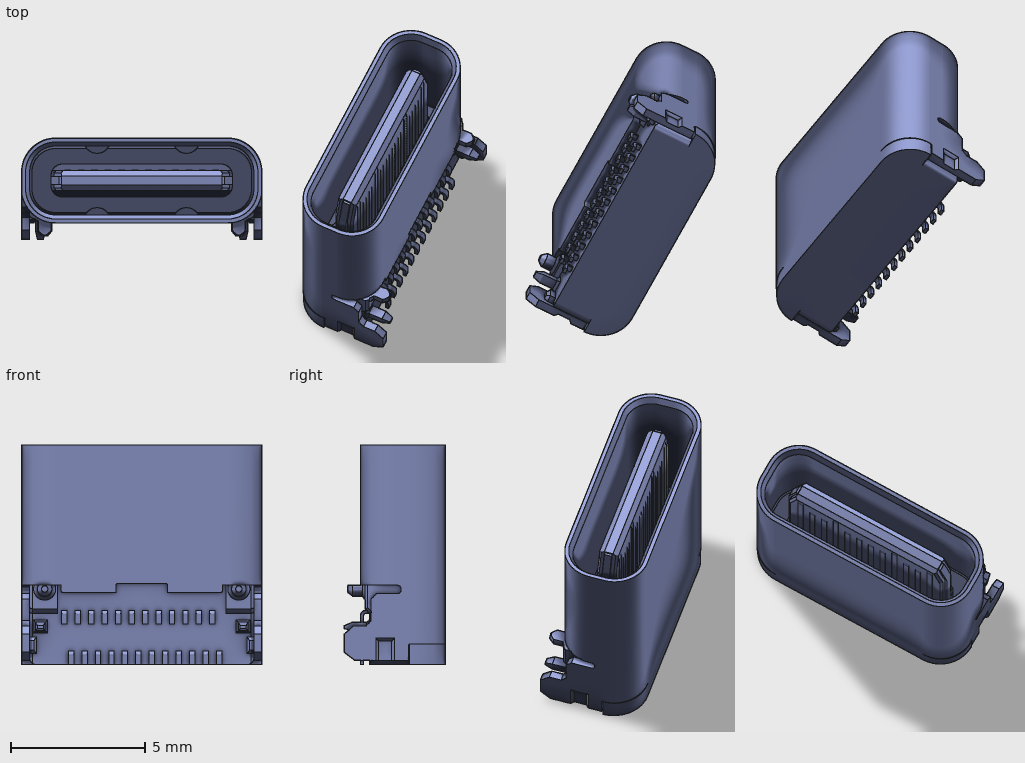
import cadquery as cq

shell_width = 8.94
shell_depth = 3.16
shell_height = 8.17
shell_radius = 1.27
wall = 0.3
rim_land = 0.15
lead_in_height = 0.22
shell_bottom_z = 2.95
front_y = -shell_depth / 2
inner_x = shell_width / 2 - wall

sliver = 0.001

floor_z = 3.2
floor_edge = 0.09
pocket_radius = 0.5
pocket_reach = 0.27
pocket_depth = 0.1
pocket_x = 1.66

tab_half_width = 3.0
tab_bottom_z = 2.68
notch_half_width = 0.96
notch_top_z = 3.02
tab_radius = 0.08

tongue_width = 6.54
tongue_thickness = 0.73
tongue_top_z = 7.9
tongue_tip_width = 5.96
tongue_tip_thickness = 0.34
tongue_tip_chamfer_height = 0.12
tongue_side_taper_height = 1.0
tongue_end_bevel = 0.085
mid_plate_width = 6.74
mid_plate_tip_width = 6.16
mid_plate_thickness = 0.29
mid_plate_top_z = 7.86
tongue_base_width = 6.74
tongue_base_thickness = 1.22
tongue_base_radius = 0.42
shoulder_low_z = 3.5
shoulder_high_z = 3.9

contact_count = 12
pitch = 0.5
contact_width = 0.22
contact_rise = 0.025
contact_tip_height = 0.12
ground_contact_top_z = 7.55
power_contact_top_z = 7.63
signal_contact_top_z = 7.0
ground_contacts = (0, 11)
power_contacts = (3, 8)

housing_front_y = -1.24
housing_corner = 0.1
housing_bottom_radius = 0.25

skirt_end_y = 0.25
skirt_top_z = 0.77
skirt_radius = shell_depth / 2 - skirt_end_y
skirt_gap = 0.05

block_front_y = -1.41
block_inner_x = 3.14
block_bottom_z = 1.9
peg_x = 3.61
peg_z = 2.81
peg_radius = 0.27
peg_base_radius = 0.41
peg_tip_radius = 0.12
peg_flare = 0.1
peg_cone_y = -1.87
peg_tip_y = -2.06

plate_bottom_z = 0.16
plate_front_y = -2.19
slot_bottom_z = 2.64
slot_end_y = -0.07
slot_radius = 0.13
plate_neck_y = -1.18
plate_neck_chamfer = 0.2
foot_top_z = 1.44
foot_top_front_y = -1.84
foot_upper_z = 1.13
foot_lower_z = 0.46
foot_bottom_front_y = -1.8

dent_back_y = -0.315
dent_front_y = -1.01
dent_top_z = 0.98
dent_slope = 0.11
dent_depth = 0.12

nub_inner_x = 3.915
nub_bottom_z = 0.41
nub_top_z = 1.02
nub_side_slope = 0.1
nub_end_slope = 0.13
nub_taper_y = -1.45

hook_x = 3.77
hook_z = 1.42
hook_root_size = (0.53, 0.48)
hook_beam_size = (0.36, 0.31)
hook_tip_size = (0.22, 0.11)
hook_flare = 0.11
hook_tip_start_y = -1.89
hook_tip_drop = 0.03

pin_width = 0.2
pin_thickness = 0.12
pin_bend_radius = 0.2
pin_front_y = front_y
pin_length = 0.51
pin_stagger = 0.125
upper_pin_top_z = 2.02
lower_pin_top_z = pin_length


def box(x0, x1, y0, y1, z0, z1):
    """Box between two opposite corners."""
    return cq.Workplane("XY").box(x1 - x0, y1 - y0, z1 - z0, centered=False).translate((x0, y0, z0))


def shell_prism(inset, z0, z1, outer_radius=shell_radius):
    """Prism of the shell outline moved inward by inset."""
    prism = cq.Workplane("XY", origin=(0, 0, z0))
    prism = prism.rect(shell_width - 2 * inset, shell_depth - 2 * inset).extrude(z1 - z0)
    return prism.edges("|Z").fillet(outer_radius - inset)


def both_sides(shape):
    """The shape together with its mirror image across the YZ plane."""
    return shape.union(shape.mirror("YZ"))


def frustum(plane, origin, base_size, top_size, height, shift=(0, 0)):
    """Rectangular frustum along the plane normal, its far end moved sideways by shift."""
    start = cq.Workplane(plane, origin=origin).rect(*base_size)
    return start.workplane(offset=height).center(*shift).rect(*top_size).loft(ruled=True)


def make_shell():
    upper = shell_prism(0, shell_bottom_z, shell_height)
    tab = box(-tab_half_width, tab_half_width, front_y, housing_front_y, tab_bottom_z, shell_bottom_z)
    tab = tab.edges("|Y and <Z").fillet(tab_radius)
    notch = box(-notch_half_width, notch_half_width, front_y, housing_front_y, tab_bottom_z, notch_top_z)
    notch = notch.edges("|Y and >Z").fillet(tab_radius)
    back = shell_prism(0, skirt_top_z, shell_bottom_z)
    back = back.union(shell_prism(0, 0, skirt_top_z, skirt_radius))
    back = back.intersect(box(-shell_width, shell_width, skirt_end_y, shell_depth, 0, shell_height))
    return upper.union(tab).cut(notch).union(back)


def make_cavity():
    hole = shell_prism(wall, floor_z, shell_height)
    mouth = shell_prism(rim_land, shell_height - lead_in_height, shell_height)
    mouth = mouth.faces("<Z").chamfer(lead_in_height - sliver, wall - rim_land)
    floor = shell_prism(wall, floor_z - floor_edge, floor_z).faces(">Z").chamfer(floor_edge - sliver)
    edge = shell_prism(wall, floor_z - floor_edge, floor_z).cut(floor)
    cavity = hole.union(mouth).union(edge)
    centre_y = shell_depth / 2 - wall - pocket_reach + pocket_radius
    pockets = cq.Workplane("XY", origin=(0, 0, floor_z - pocket_depth)).pushPoints(
        [(x, y) for x in (-pocket_x, pocket_x) for y in (-centre_y, centre_y)]
    )
    pockets = pockets.circle(pocket_radius).extrude(pocket_depth)
    pockets = pockets.intersect(shell_prism(wall, 0, shell_height))
    return cavity.union(pockets)


def contact_position(index):
    """X of a contact in a row centred on the part."""
    return (index - (contact_count - 1) / 2) * pitch


def contact_top(index):
    """Z of the upper end of a contact strip."""
    if index in ground_contacts:
        return ground_contact_top_z
    if index in power_contacts:
        return power_contact_top_z
    return signal_contact_top_z


def tapered_plate(width, tip_width, thickness, top_z):
    """Plate standing in the XZ plane whose ends lean inward near the top."""
    face = [
        (width / 2, floor_z - floor_edge),
        (width / 2, top_z - tongue_side_taper_height),
        (tip_width / 2, top_z),
    ]
    face += [(-x, z) for x, z in reversed(face)]
    return cq.Workplane("XZ").polyline(face).close().extrude(thickness / 2, both=True)


def symmetric_profile(half_outline, length):
    """Prism along X whose YZ profile is half_outline and its mirror image in Y."""
    outline = half_outline + [(-y, z) for y, z in reversed(half_outline)]
    return cq.Workplane("YZ").polyline(outline).close().extrude(length / 2, both=True)


def make_tongue():
    half = tongue_thickness / 2
    base_half = tongue_base_thickness / 2
    root_z = floor_z - floor_edge
    tip = [
        (half, root_z),
        (half, tongue_top_z - tongue_tip_chamfer_height),
        (tongue_tip_thickness / 2, tongue_top_z),
    ]
    plate = tapered_plate(tongue_width, tongue_tip_width, tongue_thickness, tongue_top_z)
    plate = plate.faces("<Y or >Y").edges("not |X").chamfer(tongue_end_bevel)
    plate = plate.intersect(symmetric_profile(tip, tongue_width))
    mid_plate = tapered_plate(mid_plate_width, mid_plate_tip_width, mid_plate_thickness, mid_plate_top_z)
    shoulder = [(base_half, root_z), (base_half, shoulder_low_z), (half, shoulder_high_z)]
    base = symmetric_profile(shoulder, tongue_base_width)
    footprint = cq.Workplane("XY").rect(tongue_base_width, tongue_base_thickness).extrude(shell_height)
    base = base.intersect(footprint.edges("|Z").fillet(tongue_base_radius))
    tongue = plate.union(mid_plate).union(base)
    for index in range(contact_count):
        x = contact_position(index)
        top = contact_top(index)
        strip = [
            (half + contact_rise, shoulder_low_z),
            (half + contact_rise, top - contact_tip_height),
            (half, top),
        ]
        tongue = tongue.union(symmetric_profile(strip, contact_width).translate((x, 0, 0)))
    return tongue


def make_housing():
    body = box(-inner_x, inner_x, housing_front_y, skirt_end_y, 0, shell_bottom_z)
    rounded = body.edges("|Y and <Z").fillet(housing_bottom_radius)
    body = body.edges("|Z and <Y").chamfer(housing_corner).intersect(rounded)
    ledge = box(-tab_half_width, tab_half_width, housing_front_y, 0, shell_bottom_z, notch_top_z)
    body = body.union(ledge)
    side = [
        (0, shell_bottom_z),
        (block_front_y, shell_bottom_z),
        (block_front_y, block_bottom_z + housing_front_y - block_front_y),
        (housing_front_y, block_bottom_z),
        (0, block_bottom_z),
    ]
    block = cq.Workplane("YZ", origin=(block_inner_x, 0, 0)).polyline(side).close()
    block = block.extrude(inner_x - block_inner_x)
    block = block.faces(">X").edges("<Y or (not (|Y or |Z))").chamfer(housing_corner)
    for detail in (block, make_peg(), make_hook(), make_nub()):
        body = body.union(both_sides(detail))
    return body


def make_peg():
    """Locating peg along -Y with a flared root, a conical tip and a flat on top."""
    profile = [
        (0, 0),
        (peg_base_radius, 0),
        (peg_radius, peg_flare),
        (peg_radius, block_front_y - peg_cone_y),
        (peg_tip_radius, block_front_y - peg_tip_y),
        (0, block_front_y - peg_tip_y),
    ]
    peg = cq.Workplane("XY").polyline(profile).close().revolve(360, (0, 0, 0), (0, 1, 0))
    peg = peg.rotate((0, 0, 0), (1, 0, 0), 180).translate((peg_x, block_front_y, peg_z))
    return peg.intersect(box(0, inner_x, plate_front_y, block_front_y, 0, shell_bottom_z))


def make_hook():
    """Hook with a flared root, a straight beam and a tapered tip."""
    flare_y = housing_front_y - hook_flare
    root_at = (hook_x, housing_front_y, hook_z)
    beam_at = (hook_x, flare_y, hook_z)
    tip_at = (hook_x, hook_tip_start_y, hook_z)
    beam_length = flare_y - hook_tip_start_y
    tip_length = hook_tip_start_y - plate_front_y
    root = frustum("XZ", root_at, hook_root_size, hook_beam_size, hook_flare)
    beam = frustum("XZ", beam_at, hook_beam_size, hook_beam_size, beam_length)
    tip = frustum("XZ", tip_at, hook_beam_size, hook_tip_size, tip_length, (0, -hook_tip_drop))
    return root.union(beam).union(tip)


def make_nub():
    width = inner_x - nub_inner_x
    height = nub_top_z - nub_bottom_z
    root = box(nub_inner_x, inner_x, nub_taper_y, housing_front_y + housing_corner, nub_bottom_z, nub_top_z)
    centre = ((nub_inner_x + inner_x) / 2, nub_taper_y, (nub_bottom_z + nub_top_z) / 2)
    end = (width - nub_side_slope, height - 2 * nub_end_slope)
    taper = frustum("XZ", centre, (width, height), end, nub_taper_y - front_y, (nub_side_slope / 2, 0))
    return root.union(taper)


def make_plate():
    slot_side_y = slot_end_y - slot_radius
    plate = (
        cq.Workplane("YZ", origin=(inner_x, 0, 0))
        .moveTo(skirt_end_y - skirt_gap, plate_bottom_z)
        .lineTo(skirt_end_y - skirt_gap, skirt_top_z - skirt_gap)
        .lineTo(skirt_end_y, skirt_top_z)
        .lineTo(skirt_end_y, shell_bottom_z)
        .lineTo(slot_side_y, shell_bottom_z)
        .radiusArc((slot_end_y, shell_bottom_z - slot_radius), slot_radius)
        .lineTo(slot_end_y, slot_bottom_z + slot_radius)
        .radiusArc((slot_side_y, slot_bottom_z), slot_radius)
        .lineTo(plate_neck_y + plate_neck_chamfer, slot_bottom_z)
        .lineTo(plate_neck_y, slot_bottom_z - plate_neck_chamfer)
        .lineTo(plate_neck_y, foot_top_z + plate_neck_chamfer)
        .lineTo(plate_neck_y - plate_neck_chamfer, foot_top_z)
        .lineTo(foot_top_front_y, foot_top_z)
        .lineTo(plate_front_y, foot_upper_z)
        .lineTo(plate_front_y, foot_lower_z)
        .lineTo(foot_bottom_front_y, plate_bottom_z)
        .close()
        .extrude(wall)
    )
    width = dent_back_y - dent_front_y
    height = 2 * (dent_top_z - plate_bottom_z)
    centre = (shell_width / 2 - dent_depth, (dent_back_y + dent_front_y) / 2, plate_bottom_z)
    bottom = (width - 2 * dent_slope, height - 2 * dent_slope)
    return plate.cut(frustum("YZ", centre, bottom, (width, height), dent_depth))


def make_pin(x, top_z):
    inner_radius = pin_bend_radius - pin_thickness
    pin = (
        cq.Workplane("YZ", origin=(x - pin_width / 2, 0, 0))
        .moveTo(housing_front_y + pin_thickness, top_z)
        .lineTo(pin_front_y + pin_bend_radius, top_z)
        .radiusArc((pin_front_y, top_z - pin_bend_radius), -pin_bend_radius)
        .lineTo(pin_front_y, top_z - pin_length)
        .lineTo(pin_front_y + pin_thickness, top_z - pin_length)
        .lineTo(pin_front_y + pin_thickness, top_z - pin_bend_radius)
        .radiusArc((pin_front_y + pin_bend_radius, top_z - pin_thickness), inner_radius)
        .lineTo(housing_front_y + pin_thickness, top_z - pin_thickness)
        .close()
        .extrude(pin_width)
    )
    return pin


result = make_shell().union(make_housing()).union(both_sides(make_plate()))
result = result.cut(make_cavity()).union(make_tongue())
for index in range(contact_count):
    x = contact_position(index)
    result = result.union(make_pin(x - pin_stagger, upper_pin_top_z))
    result = result.union(make_pin(x + pin_stagger, lower_pin_top_z))